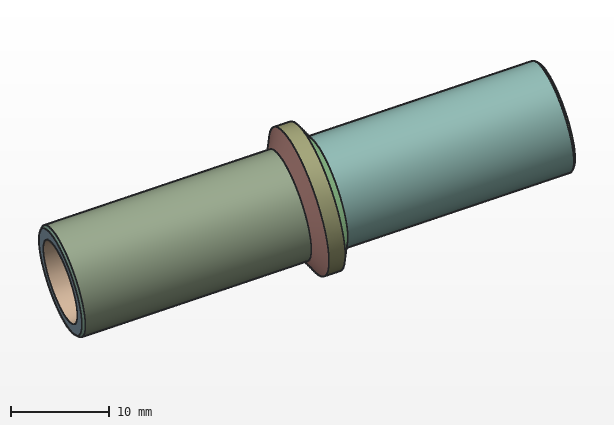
import cadquery as cq

length = 54.0
tube_diameter = 12.0
bore_diameter = 9.0
end_chamfer = 0.25

collar_diameter = 16.0
collar_base_width = 4.0
collar_rim_width = 1.8


def make_tube():
    """Solid tube body with chamfered outer end edges."""
    tube = cq.Workplane("XZ").circle(tube_diameter / 2).extrude(length / 2, both=True)
    return tube.faces("<Y or >Y").edges().chamfer(end_chamfer)


def make_collar():
    """Collar revolved about Y from its radial profile."""
    half_base = collar_base_width / 2
    half_rim = collar_rim_width / 2
    base_radius = tube_diameter / 2
    rim_radius = collar_diameter / 2
    profile = (
        cq.Workplane("XY")
        .moveTo(0, -half_base)
        .lineTo(base_radius, -half_base)
        .lineTo(rim_radius, -half_rim)
        .lineTo(rim_radius, half_rim)
        .lineTo(base_radius, half_base)
        .lineTo(0, half_base)
        .close()
    )
    return profile.revolve(360, (0, 0, 0), (0, 1, 0))


def make_bore():
    """Through bore along the full length."""
    return cq.Workplane("XZ").circle(bore_diameter / 2).extrude(length / 2, both=True)


result = make_tube().union(make_collar()).cut(make_bore())